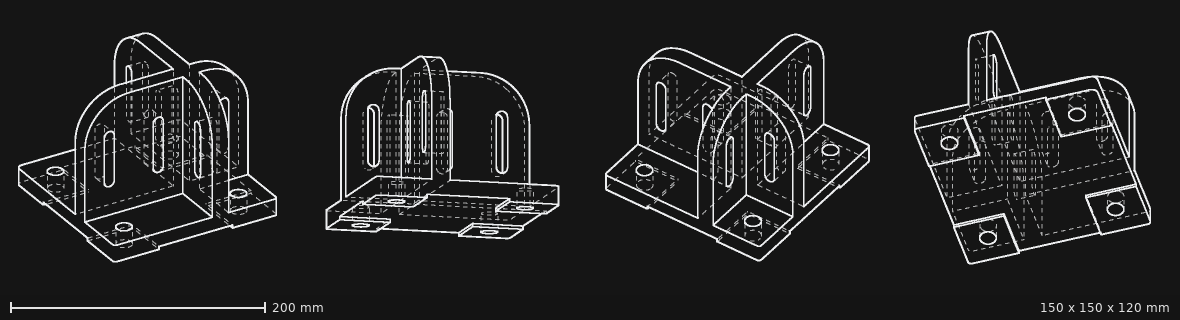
import cadquery as cq

side = 150.0
height = 120.0
plate_thickness = 15.0
large_corner_radius = 5.0
small_corner_radius = 2.5

wall_thickness = 15.0
wall_start = 90.0
wall_corner_radius = 40.0

slot_width = 9.0
slot_bottom = 40.5
slot_top = 90.0
slot_positions = (22.5, 67.5, 127.5)

hole_diameter = 13.0
hole_inset = 22.5
channel_width = 67.5
channel_depth = 2.5


def make_plate():
    plate = cq.Workplane("XY").box(side, side, plate_thickness, centered=False)
    plate = plate.edges("|Z and <X and <Y").fillet(large_corner_radius)
    for corner in (">X and <Y", "<X and >Y", ">X and >Y"):
        plate = plate.edges("|Z and " + corner).fillet(small_corner_radius)

    hole_spacing = side - 2 * hole_inset
    holes = (
        cq.Workplane("XY")
        .center(side / 2, side / 2)
        .rect(hole_spacing, hole_spacing, forConstruction=True)
        .vertices()
        .circle(hole_diameter / 2)
        .extrude(plate_thickness)
    )
    plate = plate.cut(holes)

    for length_x, length_y in ((side, channel_width), (channel_width, side)):
        channel = cq.Workplane("XY").box(length_x, length_y, channel_depth, centered=(True, True, False))
        plate = plate.cut(channel.translate((side / 2, side / 2, 0)))
    return plate


def make_blank_wall():
    """Wall along X, with rounded top corners, standing on the plate."""
    wall = cq.Workplane("XY").box(side, wall_thickness, height - plate_thickness, centered=False)
    wall = wall.translate((0, wall_start, plate_thickness))
    return wall.faces(">Z").edges("|Y").fillet(wall_corner_radius)


def make_slots():
    """Slot cutters that pass through the wall along X."""
    slot_centers = [(x, (slot_bottom + slot_top) / 2) for x in slot_positions]
    return (
        cq.Workplane("XZ", origin=(0, wall_start + wall_thickness, 0))
        .pushPoints(slot_centers)
        .slot2D(slot_top - slot_bottom, slot_width, 90)
        .extrude(wall_thickness)
    )


wall_along_x = make_blank_wall().cut(make_slots())
wall_along_y = wall_along_x.rotate((0, 0, 0), (0, 0, 1), 90).mirror("YZ")

result = make_plate().union(wall_along_x).union(wall_along_y)